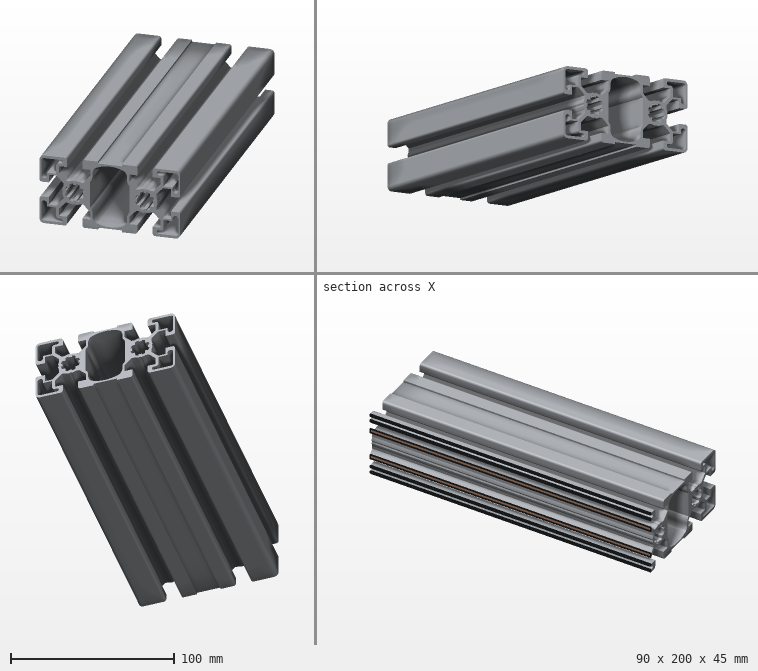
import cadquery as cq
import math

LENGTH = 200
CELL = 45.0
HALF = CELL / 2
CORNER_RADIUS = 3.0

MOUTH_WIDTH = 9.8
MOUTH_HALF_WIDTH = MOUTH_WIDTH / 2
MOUTH_ROUNDING = 1.5
LIP = 6.0
SLOT_HALF_WIDTH = 10.0
FLOOR = 7.2
SLANT_OFFSET = 1.5
CORE_RADIUS = 8.0
MARK_HALF_WIDTH = 1.0
MARK_DEPTH = 0.5

THICK_WALL = 1.8
THIN_WALL = 1.2
TIP_WALL = 2.5
POCKET_ROUNDING = 1.5

BORE_RADIUS = 6.2
TOOTH_RADIUS = 5.2
TOOTH_WIDTH = 2.2
CORNER_TOOTH = 3.2

CAVITY_WAIST_HALF_WIDTH = 12.5
CAVITY_WAIST_HALF_HEIGHT = 8.8
CAVITY_HALF_WIDTH = 11.0
CAVITY_SIDE_START = 12.5
CAVITY_SIDE_END = 14.5
CAVITY_SHOULDER = (8.5, 18.5)
SHOULDER_RADIUS = 4.5
CAVITY_HALF_HEIGHT = 20.2

RECESS_WIDTH = 15.5
RECESS_DEPTH = 1.2

DIAGONAL = math.sqrt(0.5)
Y_AXIS = ((0, 0, 0), (0, 1, 0))


def section():
    """Cross-section plane, with the part's X and Z as its axes."""
    return cq.Workplane("XZ")


def along_length(outline):
    """Extrude an outline over the full length, centred on the XZ plane."""
    return outline.extrude(LENGTH / 2, both=True)


def slot():
    """T-slot opening upwards, drawn about the core axis."""
    mouth_edge = MOUTH_HALF_WIDTH + MOUTH_ROUNDING
    arc_inset = MOUTH_ROUNDING * (1 - DIAGONAL)
    bulge_start = math.sqrt(CORE_RADIUS**2 - FLOOR**2)
    mark_height = math.sqrt(CORE_RADIUS**2 - MARK_HALF_WIDTH**2)
    bulge_middle = (bulge_start + MARK_HALF_WIDTH) / 2
    half_outline = (
        section()
        .moveTo(0, HALF)
        .lineTo(mouth_edge, HALF)
        .threePointArc(
            (MOUTH_HALF_WIDTH + arc_inset, HALF - arc_inset),
            (MOUTH_HALF_WIDTH, HALF - MOUTH_ROUNDING),
        )
        .lineTo(MOUTH_HALF_WIDTH, HALF - LIP)
        .lineTo(SLOT_HALF_WIDTH, HALF - LIP)
        .lineTo(SLOT_HALF_WIDTH, SLOT_HALF_WIDTH + SLANT_OFFSET)
        .lineTo(FLOOR - SLANT_OFFSET, FLOOR)
        .lineTo(bulge_start, FLOOR)
        .threePointArc(
            (bulge_middle, math.sqrt(CORE_RADIUS**2 - bulge_middle**2)),
            (MARK_HALF_WIDTH, mark_height),
        )
        .lineTo(0, mark_height - MARK_DEPTH)
    )
    return along_length(half_outline.mirrorY())


def corner_pocket():
    """Hollow of the upper right corner, drawn about the core axis."""
    top = HALF - THICK_WALL
    outer = HALF - THIN_WALL
    tip_end = MOUTH_HALF_WIDTH + TIP_WALL
    tip_floor = HALF - LIP + THICK_WALL
    inner = SLOT_HALF_WIDTH + THICK_WALL
    floor = SLOT_HALF_WIDTH + THIN_WALL
    foot_inner = HALF - LIP + THIN_WALL
    tip_radius = (top - tip_floor) / 2
    foot_radius = (outer - foot_inner) / 2
    inset = POCKET_ROUNDING * (1 - DIAGONAL)
    return along_length(
        section()
        .moveTo(tip_end + tip_radius, top)
        .lineTo(outer - POCKET_ROUNDING, top)
        .threePointArc((outer - inset, top - inset), (outer, top - POCKET_ROUNDING))
        .lineTo(outer, tip_end + foot_radius)
        .threePointArc((outer - foot_radius, tip_end), (foot_inner, tip_end + foot_radius))
        .lineTo(foot_inner, floor)
        .lineTo(inner, floor)
        .lineTo(inner, tip_floor - POCKET_ROUNDING)
        .threePointArc((inner - inset, tip_floor - inset), (inner - POCKET_ROUNDING, tip_floor))
        .lineTo(tip_end + tip_radius, tip_floor)
        .threePointArc((tip_end, tip_floor + tip_radius), (tip_end + tip_radius, top))
        .close()
    )


def core_hole():
    """Round bore with square corners and narrow teeth standing into it."""
    hole = along_length(section().circle(BORE_RADIUS))
    corner_centre = CORNER_TOOTH + BORE_RADIUS / 2
    corner_tooth = along_length(
        section().center(corner_centre, corner_centre).rect(BORE_RADIUS, BORE_RADIUS)
    )
    narrow_tooth = along_length(
        section().center(0, TOOTH_RADIUS + BORE_RADIUS / 2).rect(TOOTH_WIDTH, BORE_RADIUS)
    )
    for angle in (0, 90, 180, 270):
        for tooth in (corner_tooth, narrow_tooth):
            hole = hole.cut(tooth.rotate(*Y_AXIS, angle))
    return hole


def central_cavity():
    """Barrel-shaped hollow with domed ends, flaring out to a wider waist."""
    shoulder_x, shoulder_z = CAVITY_SHOULDER
    dome_rise = CAVITY_HALF_HEIGHT - shoulder_z
    dome_radius = (shoulder_x**2 + dome_rise**2) / (2 * dome_rise)
    upper_right = (
        section()
        .moveTo(0, 0)
        .lineTo(0, CAVITY_HALF_HEIGHT)
        .radiusArc((shoulder_x, shoulder_z), dome_radius)
        .radiusArc((CAVITY_HALF_WIDTH, CAVITY_SIDE_END), SHOULDER_RADIUS)
        .lineTo(CAVITY_HALF_WIDTH, CAVITY_SIDE_START)
        .tangentArcPoint((CAVITY_WAIST_HALF_WIDTH, CAVITY_WAIST_HALF_HEIGHT), relative=False)
        .lineTo(CAVITY_WAIST_HALF_WIDTH, 0)
        .close()
    )
    quarter = along_length(upper_right)
    upper_half = quarter.union(quarter.mirror("YZ"))
    return upper_half.union(upper_half.mirror("XY"))


def cell_cuts():
    """Everything removed from the right-hand cell, drawn about its core axis."""
    top_slot = slot()
    side_slot = top_slot.rotate(*Y_AXIS, 90)
    pocket = corner_pocket()
    return [
        top_slot,
        top_slot.mirror("XY"),
        side_slot,
        pocket,
        pocket.mirror("XY"),
        core_hole(),
    ]


result = along_length(section().rect(2 * CELL, CELL)).edges("|Y").fillet(CORNER_RADIUS)

for cut in cell_cuts():
    right_cut = cut.translate((HALF, 0, 0))
    result = result.cut(right_cut).cut(right_cut.mirror("YZ"))

result = result.cut(central_cavity())

for face_z in (HALF, -HALF):
    recess = cq.Workplane("XY").box(RECESS_WIDTH, LENGTH, 2 * RECESS_DEPTH)
    result = result.cut(recess.translate((0, 0, face_z)))